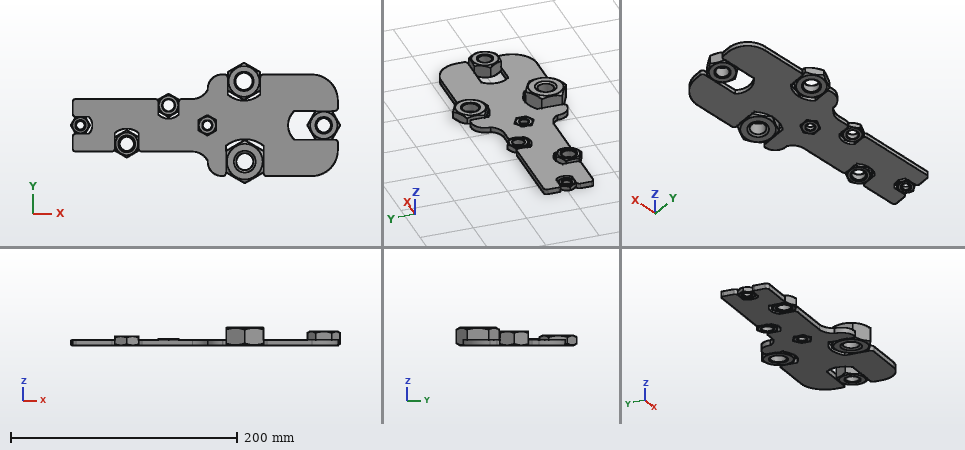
import cadquery as cq
import math


plate_thickness = 5.0
plate_length = 234.5
handle_half_width = 23.3
head_half_width = 45.0
shoulder_x = 119.3
shoulder_radius = 12.9
web_radius = 15.5
web_length = 13.5
head_corner_radius = 23.3
small_corner_radius = 2.9

slot_overrun = 23.8

chamfer_angle = math.radians(30)
chamfer_circle_ratio = 0.95

slot_nuts = [
    dict(x=7.0, y=0, flats=14.8, height=5.0, bore=7.4, sink=9.5, mouth=180, slot_end=10.5, end_radius=10.2),
    dict(x=47.8, y=-16.5, flats=21.0, height=8.3, bore=12.4, sink=15.0, mouth=270, slot_end=13.3, end_radius=16.5),
    dict(x=84.7, y=17.5, flats=17.9, height=6.2, bore=10.5, sink=11.7, mouth=90, slot_end=11.7, end_radius=12.9),
    dict(x=151.5, y=38.8, flats=28.5, height=9.0, bore=15.0, sink=17.1, mouth=90, slot_end=17.0, end_radius=22.0),
    dict(x=152.0, y=-32.1, flats=33.0, height=16.0, bore=14.8, sink=19.3, mouth=270, slot_end=19.8, end_radius=26.7),
    dict(x=221.9, y=0, flats=25.2, height=12.5, bore=12.4, sink=14.8, mouth=0, slot_end=31.5, end_radius=17.1),
]

centre_nut = dict(x=119.0, y=0, flats=15.7, height=5.0, bore=7.9, sink=9.3, mouth=90)


def hexagon(nut, height):
    """Hexagonal prism with two of its flats parallel to the nut's slot."""
    corner_diameter = nut["flats"] / math.cos(math.pi / 6)
    prism = cq.Workplane("XY").polygon(6, corner_diameter).extrude(height)
    return prism.rotate((0, 0, 0), (0, 0, 1), nut["mouth"]).translate((nut["x"], nut["y"], 0))


def make_nut(nut):
    """Hexagonal nut, chamfered outside and countersunk at both faces."""
    height = nut["height"]
    corner_radius = nut["flats"] / math.sqrt(3)
    face_radius = chamfer_circle_ratio * nut["flats"] / 2
    bore_radius = nut["bore"] / 2
    sink_radius = nut["sink"] / 2
    chamfer_height = (corner_radius - face_radius) * math.tan(chamfer_angle)
    sink_depth = (sink_radius - bore_radius) * math.tan(chamfer_angle)
    turned_body = (
        cq.Workplane("XZ")
        .moveTo(bore_radius, sink_depth)
        .lineTo(sink_radius, 0)
        .lineTo(face_radius, 0)
        .lineTo(corner_radius, chamfer_height)
        .lineTo(corner_radius, height - chamfer_height)
        .lineTo(face_radius, height)
        .lineTo(sink_radius, height)
        .lineTo(bore_radius, height - sink_depth)
        .close()
        .revolve(360, (0, 0), (0, 1))
        .translate((nut["x"], nut["y"], 0))
    )
    return hexagon(nut, height).intersect(turned_body)


def make_slot(nut):
    """Cutter for a parallel-sided slot with a shallow arc at its closed end."""
    half_width = nut["flats"] / 2
    end_radius = nut["end_radius"]
    arc_rise = end_radius - math.sqrt(end_radius**2 - half_width**2)
    end_x = -nut["slot_end"]
    mouth_x = nut["flats"] + slot_overrun
    return (
        cq.Workplane("XY")
        .moveTo(mouth_x, -half_width)
        .lineTo(end_x + arc_rise, -half_width)
        .threePointArc((end_x, 0), (end_x + arc_rise, half_width))
        .lineTo(mouth_x, half_width)
        .close()
        .extrude(plate_thickness)
        .rotate((0, 0, 0), (0, 0, 1), nut["mouth"])
        .translate((nut["x"], nut["y"], 0))
    )


def round_slot_mouth(plate, nut):
    """Round the two corners where the nut's slot meets the plate's outer edge."""
    mouth_angle = math.radians(nut["mouth"])
    outward = cq.Vector(math.cos(mouth_angle), math.sin(mouth_angle), 0)
    sideways = cq.Vector(-outward.y, outward.x, 0) * nut["flats"]
    centre = cq.Vector(nut["x"], nut["y"], 0)
    near_corner = centre - sideways
    far_corner = centre + sideways + outward * nut["flats"] + cq.Vector(0, 0, plate_thickness)
    mouth_region = cq.selectors.BoxSelector(near_corner.toTuple(), far_corner.toTuple())
    return plate.edges("|Z").edges(mouth_region).fillet(small_corner_radius)


def make_blank():
    """Plate outline before the slots: handle, shoulders and rounded head."""
    handle = (
        cq.Workplane("XY")
        .box(shoulder_x, 2 * handle_half_width, plate_thickness, centered=(False, True, False))
        .edges("|Z and <X")
        .fillet(small_corner_radius)
    )
    head_length = plate_length - shoulder_x
    head = (
        cq.Workplane("XY")
        .box(head_length, 2 * head_half_width, plate_thickness, centered=(False, True, False))
        .edges("|Z and >X")
        .fillet(head_corner_radius)
        .edges("|Z and <X")
        .fillet(shoulder_radius)
        .translate((shoulder_x, 0, 0))
    )
    blank = handle.union(head)
    web_rise = web_radius - math.sqrt(web_radius**2 - web_length**2)
    for side in (-1, 1):
        web = (
            cq.Workplane("XY")
            .center(shoulder_x, side * handle_half_width)
            .rect(-web_length, side * web_rise, centered=False)
            .extrude(plate_thickness)
        )
        relief = (
            cq.Workplane("XY")
            .center(shoulder_x - web_length, side * (handle_half_width + web_radius))
            .circle(web_radius)
            .extrude(plate_thickness)
        )
        blank = blank.union(web.cut(relief))
    return blank


plate = make_blank().cut(hexagon(centre_nut, plate_thickness))
for nut in slot_nuts:
    plate = round_slot_mouth(plate.cut(make_slot(nut)), nut)
nuts = [make_nut(nut) for nut in slot_nuts + [centre_nut]]

result = cq.Compound.makeCompound([plate.val(), *[nut.val() for nut in nuts]])